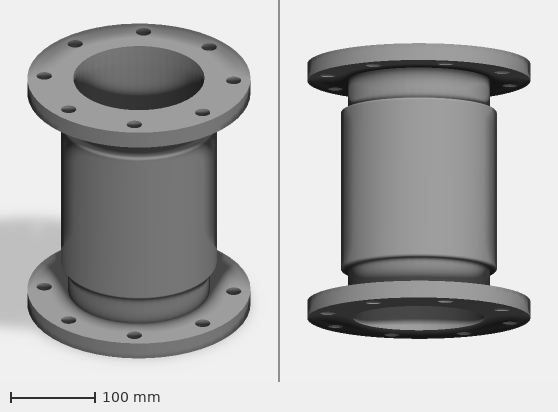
import cadquery as cq

total_length = 307.0
flange_diameter = 265.0
flange_thickness = 20.3
bore_diameter = 155.5

neck_diameter = 168.2
sleeve_diameter = 185.7
sleeve_length = 192.2
sleeve_rim_radius = 3.0
sleeve_root_radius = 3.0

bolt_count = 8
bolt_circle_diameter = 225.0
bolt_hole_diameter = 18.0

sleeve_bottom = (total_length - sleeve_length) / 2
sleeve_top = sleeve_bottom + sleeve_length
bolt_pitch_angle = 360.0 / bolt_count


def cylinder(diameter, length, base_z):
    """Solid cylinder on the Z axis, starting at base_z."""
    return cq.Workplane("XY").workplane(offset=base_z).circle(diameter / 2).extrude(length)


def edges_at(diameter, z):
    """Selector for the circular edge of the given diameter around the Z axis at height z."""
    margin = 0.3
    reach = diameter / 2 + margin
    return cq.selectors.BoxSelector(
        (-reach, -reach, z - margin), (reach, reach, z + margin), boundingbox=True
    )


def flanged_pipe():
    """Solid outer body: necks, two flanges and the sleeve with its rounded ends."""
    body = cylinder(neck_diameter, total_length, 0)
    sleeve = cylinder(sleeve_diameter, sleeve_length, sleeve_bottom)
    body = body.union(sleeve.edges("%CIRCLE").fillet(sleeve_rim_radius))

    for sleeve_end in (sleeve_bottom, sleeve_top):
        body = body.edges(edges_at(neck_diameter, sleeve_end)).fillet(sleeve_root_radius)

    for flange_base in (0, total_length - flange_thickness):
        body = body.union(cylinder(flange_diameter, flange_thickness, flange_base))
    return body


def bolt_holes():
    """Cutters that pass through both flanges, clear of the sleeve."""
    return (
        cq.Workplane("XY")
        .polarArray(bolt_circle_diameter / 2, bolt_pitch_angle / 2, 360, bolt_count)
        .circle(bolt_hole_diameter / 2)
        .extrude(total_length)
    )


bore = cylinder(bore_diameter, total_length, 0)
result = flanged_pipe().cut(bore).cut(bolt_holes())